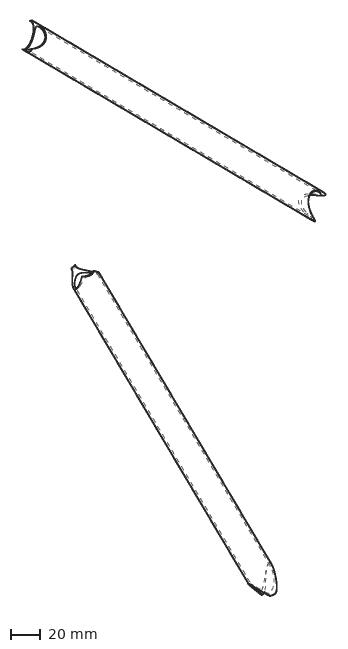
import cadquery as cq
outer_radius = 10.0
wall = 1.5
axis_point = cq.Vector(0, -2.0, 1.6)
axis = cq.Vector(1, 0.59, -0.979).normalized()

upper_end = 134.4
lower_end = 138.1

upper_copes = [
    (127.2, cq.Vector(-0.726, 0.272, -0.632), 9.9, 0),
    (135.6, cq.Vector(-0.427, 0.744, 0.514), 10.4, 0),
]
lower_copes = [
    (144.0, cq.Vector(0.995, 0.014, -0.096), 11.1, 0.9),
    (134.2, cq.Vector(-0.19, 0.394, -0.9), 10.5, 0),
]
cutter_reach = 53.8


def straight_tube():
    start = axis_point - axis * upper_end
    plane = cq.Plane(origin=start.toTuple(), normal=axis.toTuple())
    inner_radius = outer_radius - wall
    return cq.Workplane(plane).circle(outer_radius).circle(inner_radius).extrude(upper_end + lower_end)


def cope_cutter(outward, distance, direction, radius, side_shift):
    """Round-nosed cutter along a crossing tube that also clears everything beyond it."""
    normal = direction.normalized()
    side = axis.cross(normal).normalized()
    centre = axis_point + outward * distance + side * side_shift
    beyond = outward - normal * outward.dot(normal)
    plane = cq.Plane(origin=centre.toTuple(), xDir=beyond.toTuple(), normal=normal.toTuple())
    nose = cq.Workplane(plane).circle(radius).extrude(cutter_reach, both=True)
    clearance = (
        cq.Workplane(plane)
        .center(cutter_reach / 2, 0)
        .rect(cutter_reach, 2 * radius)
        .extrude(cutter_reach, both=True)
    )
    return nose.union(clearance)


result = straight_tube()
for outward, copes in ((axis * -1, upper_copes), (axis, lower_copes)):
    for cope in copes:
        result = result.cut(cope_cutter(outward, *cope))